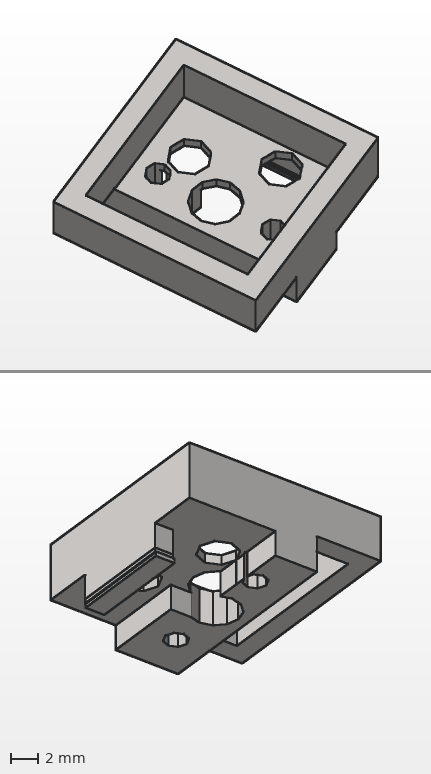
import cadquery as cq


frame_size = 17.5
opening_size = 14.0
frame_height = 3.9

floor_depth = 4.0
roof_depth = 4.85
base_bottom = 7.0
base_front = -2.9

left_wall_back = 0.9
right_wall_back = 2.8
wall_step_x = 1.8

leg_width = 8.86
leg_thickness = 1.65
pad_bottom = 7.37
lip_top = 7.3
lip_bottom = 7.7
lip_setback = 0.07
lip_depth = 1.7

centre_hole_sides = 12
small_hole_sides = 8
centre_hole_diameter = 4.1
side_hole_diameter = 1.95
side_hole_x = 5.0
pin_hole_diameter = 3.3
key_pitch = 1.27
pin_hole_places = [(-3 * key_pitch, 2 * key_pitch), (2 * key_pitch, 4 * key_pitch)]

half_frame = frame_size / 2
half_opening = opening_size / 2
leg_front = half_frame - leg_thickness
full_span = (-half_frame, half_frame)
opening_span = (-half_opening, half_opening)
leg_span = (-leg_width / 2, leg_width / 2)
wall_depths = (roof_depth, base_bottom)


def block(x_range, y_range, depth_range):
    """Box between two X values, two Y values and two depths below the top face."""
    x_start, x_end = x_range
    y_start, y_end = y_range
    upper, lower = depth_range
    return cq.Workplane("XY").box(
        x_end - x_start, y_end - y_start, lower - upper, centered=False
    ).translate((x_start, y_start, -lower))


def through_holes(places, side_count, diameter):
    """Polygonal drills with a corner on +X, as deep as the base."""
    return (
        cq.Workplane("XY")
        .pushPoints(places)
        .polygon(side_count, diameter)
        .extrude(-base_bottom)
    )


def make_lower_walls():
    """Stepped wall in front of the socket recess, and the leg behind it."""
    left_wall = block((-half_frame, wall_step_x), (base_front, left_wall_back), wall_depths)
    right_wall = block((wall_step_x, half_frame), (base_front, right_wall_back), wall_depths)
    leg = block(leg_span, (leg_front, half_frame), wall_depths)
    return left_wall.union(right_wall).union(leg)


def make_housing():
    frame = block(full_span, full_span, (0, frame_height))
    base = block(full_span, (base_front, half_frame), (0, roof_depth))
    opening = block(opening_span, opening_span, (0, floor_depth))
    side_hole_places = [(-side_hole_x, 0), (side_hole_x, 0)]

    body = frame.union(base).cut(opening).union(make_lower_walls())
    body = body.cut(through_holes([(0, 0)], centre_hole_sides, centre_hole_diameter))
    body = body.cut(through_holes(side_hole_places, small_hole_sides, side_hole_diameter))
    return body.cut(through_holes(pin_hole_places, small_hole_sides, pin_hole_diameter))


def make_lip():
    """Clip lip that reaches forward past the pad."""
    lip_back = half_frame - lip_setback
    return block(leg_span, (lip_back - lip_depth, lip_back), (lip_top, lip_bottom))


def make_pad():
    """Pad between the leg and the lip, with a shallow seat for the lip."""
    pad = block(leg_span, (leg_front, half_frame), (base_bottom, pad_bottom))
    return pad.cut(make_lip())


housing = make_housing()
pad = make_pad()
lip = make_lip()

result = cq.Compound.makeCompound([housing.val(), pad.val(), lip.val()])